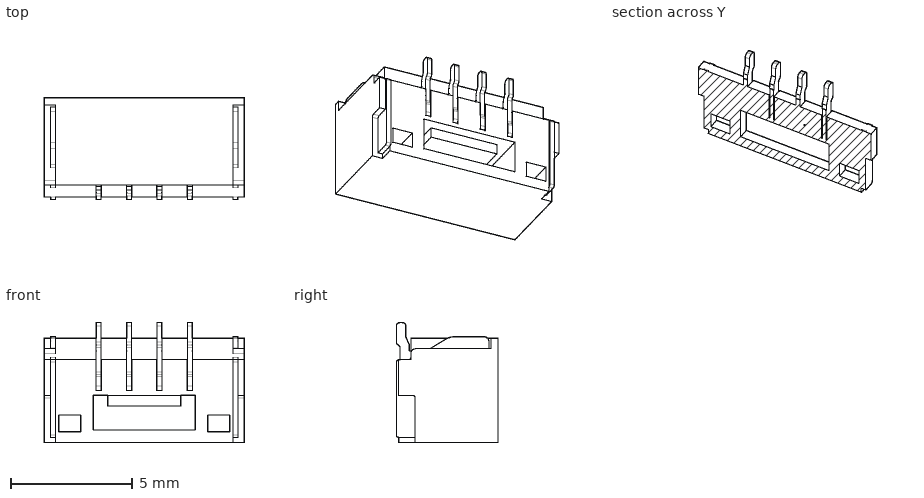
import cadquery as cq

width = 8.25
depth = 4.1
height = 4.31
half_width = width / 2

ledge_depth = 0.5
ledge_height = 3.415

end_thickness = 0.47
shoulder_height = 3.87
shoulder_back = 3.8
shoulder_radius = 0.19
end_wall = half_width - end_thickness

relief_depth = 0.68
relief_height = 1.95
relief_radius = 0.1

clip_thickness = 0.21
clip_front = -0.1
clip_bottom = 0.215
clip_top = 4.365
clip_back = 3.71
clip_flat_front = 2.11
clip_slope_foot = 1.29
clip_nose_radius = 0.1
clip_back_radius = 0.18
clip_crest_radius = 0.495
clip_foot_radius = 0.25
clip_step_radius = 0.1

main_window_width = 4.19
main_window_bottom = 0.53
main_window_top = 1.95
tongue_width = 3.02
tongue_drop = 0.445
tongue_front = ledge_depth
side_window_width = 0.89
side_window_center = 3.07
side_window_bottom = 0.45
side_window_height = 0.68

pin_count = 4
pin_row_length = 3.75
pin_pitch = pin_row_length / (pin_count - 1)
pin_width = 0.21
pin_top = 4.95
pin_slot_width = 0.23
pin_slot_bottom = 2.15
tail_front = clip_front
tail_back = 0.3
tail_tip_radius = 0.15
tail_bend_top = 4.14
tail_bend_bottom = 3.91
neck_top = 4.36
neck_bottom = 4.03
neck_back = 0.445
stem_top = 3.78
stem_front = 0.05
foot_front = 0.01
foot_bend_top = 2.9
foot_bend_bottom = 2.72
foot_radius = 0.18

edge_margin = 0.01


def box(x_min, x_max, y_min, y_max, z_min, z_max):
    """Block between two opposite corners."""
    size = (x_max - x_min, y_max - y_min, z_max - z_min)
    return cq.Workplane("XY").box(*size, centered=False).translate((x_min, y_min, z_min))


def both_ends(shape):
    """Shape at the +X end together with its mirror image at the -X end."""
    return shape.union(shape.mirror("YZ"))


def round_edge(shape, x_min, x_max, y, z, radius):
    """Fillet the edge along X at (y, z) whose middle lies between x_min and x_max."""
    low_corner = (x_min, y - edge_margin, z - edge_margin)
    high_corner = (x_max, y + edge_margin, z + edge_margin)
    edge = cq.selectors.BoxSelector(low_corner, high_corner)
    return shape.edges(edge).fillet(radius)


def make_housing():
    block = box(-half_width, half_width, 0, depth, 0, height)
    ledge_cut = box(-half_width, half_width, 0, ledge_depth, ledge_height, height)
    shoulder_cut = box(end_wall, half_width, 0, shoulder_back, shoulder_height, height)
    relief_cut = box(end_wall, half_width, 0, relief_depth, 0, relief_height)
    relief_cut = relief_cut.edges(">Y and >Z").fillet(relief_radius)
    housing = block.cut(ledge_cut).cut(both_ends(shoulder_cut)).cut(both_ends(relief_cut))
    housing = round_edge(housing, -half_width, -end_wall, ledge_depth, shoulder_height, shoulder_radius)
    housing = round_edge(housing, end_wall, half_width, ledge_depth, shoulder_height, shoulder_radius)
    return housing


def make_windows():
    half_main = main_window_width / 2
    half_tongue = tongue_width / 2
    main = box(-half_main, half_main, 0, depth, main_window_bottom, main_window_top)
    tongue = box(
        -half_tongue, half_tongue, tongue_front, depth, main_window_top - tongue_drop, main_window_top
    )
    side = box(
        side_window_center - side_window_width / 2,
        side_window_center + side_window_width / 2,
        0,
        depth,
        side_window_bottom,
        side_window_bottom + side_window_height,
    )
    return main.cut(tongue).union(both_ends(side))


def make_clip():
    """Side clip plate at the +X end, with a raised back tab sloping down to the shoulder."""
    plate = (
        cq.Workplane("YZ", origin=(end_wall, 0, 0))
        .moveTo(clip_front, clip_bottom)
        .lineTo(clip_back, clip_bottom)
        .lineTo(clip_back, clip_top)
        .lineTo(clip_flat_front, clip_top)
        .lineTo(clip_slope_foot, shoulder_height)
        .lineTo(ledge_depth, shoulder_height)
        .lineTo(ledge_depth, ledge_height)
        .lineTo(clip_front, ledge_height)
        .close()
        .extrude(clip_thickness)
    )

    rounded_corners = (
        (clip_front, clip_bottom, clip_nose_radius),
        (clip_front, ledge_height, clip_nose_radius),
        (ledge_depth, ledge_height, clip_step_radius),
        (ledge_depth, shoulder_height, shoulder_radius),
        (clip_slope_foot, shoulder_height, clip_foot_radius),
        (clip_flat_front, clip_top, clip_crest_radius),
        (clip_back, clip_top, clip_back_radius),
    )
    for y, z, radius in rounded_corners:
        plate = round_edge(plate, end_wall, half_width, y, z, radius)
    return plate


def make_pin(x):
    """Terminal with a foot and stem in the housing slot and a tail stepping forward above the ledge."""
    tail_bend_middle = ((tail_front + stem_front) / 2, (tail_bend_top + tail_bend_bottom) / 2)
    foot_bend_middle = ((stem_front + foot_front) / 2, (foot_bend_top + foot_bend_bottom) / 2)
    return (
        cq.Workplane("YZ", origin=(x - pin_width / 2, 0, 0))
        .moveTo(ledge_depth, pin_slot_bottom)
        .lineTo(ledge_depth, stem_top)
        .lineTo(neck_back, stem_top)
        .lineTo(neck_back, neck_bottom)
        .lineTo(tail_back, neck_top)
        .lineTo(tail_back, pin_top - tail_tip_radius)
        .radiusArc((tail_back - tail_tip_radius, pin_top), -tail_tip_radius)
        .lineTo(tail_front + tail_tip_radius, pin_top)
        .radiusArc((tail_front, pin_top - tail_tip_radius), -tail_tip_radius)
        .lineTo(tail_front, tail_bend_top)
        .tangentArcPoint(tail_bend_middle, relative=False)
        .tangentArcPoint((stem_front, tail_bend_bottom), relative=False)
        .lineTo(stem_front, foot_bend_top)
        .tangentArcPoint(foot_bend_middle, relative=False)
        .tangentArcPoint((foot_front, foot_bend_bottom), relative=False)
        .lineTo(foot_front, pin_slot_bottom + foot_radius)
        .radiusArc((foot_front + foot_radius, pin_slot_bottom), -foot_radius)
        .close()
        .extrude(pin_width)
    )


def make_pin_slot(x):
    half_slot = pin_slot_width / 2
    return box(x - half_slot, x + half_slot, 0, ledge_depth, pin_slot_bottom, ledge_height)


result = make_housing().cut(make_windows()).union(both_ends(make_clip()))
for index in range(pin_count):
    pin_x = (index - (pin_count - 1) / 2) * pin_pitch
    result = result.cut(make_pin_slot(pin_x)).union(make_pin(pin_x))